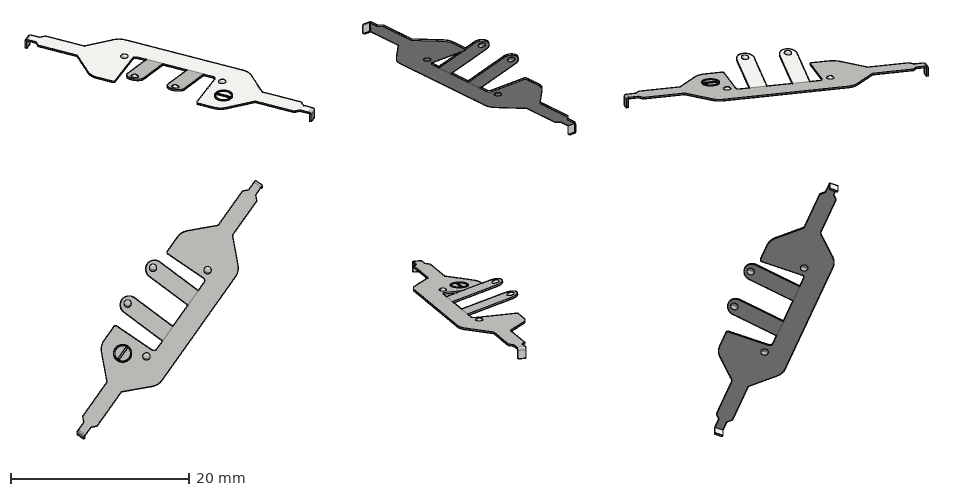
import cadquery as cq
import math

length = 35.2
thickness = 0.2
half_depth = 3.98
corner_radius = 1.75

arm_half_width = 1.0
arm_root_x = 10.95
arm_tip_x = 15.75
tab_half_width = 0.5
tab_height = 1.3
tab_corner_radius = 0.15
bend_radius = 0.28

cutout_half_width = 5.05
cutout_top_y = 1.45
cutout_inner_radius = 0.35
cutout_outer_radius = 0.2

finger_x = 2.5
finger_width = 2.05
finger_tip_y = -4.82
finger_angle = 15.0
finger_slope = math.radians(finger_angle)

bump_radius = 0.42
bump_height = 0.2
finger_bump_offset = 0.25
plate_bump_x = 6.02
plate_bump_y = 1.0

mark_x = 7.25
mark_y = -1.4
ring_outer_radius = 1.02
ring_inner_radius = 0.88
bar_length = 1.48
bar_width = 0.2
mark_depth = 0.07


def make_plate():
    """Flat sheet with 45 degree tapers down to the arms and the end tabs."""
    taper = half_depth - arm_half_width
    shoulder_x = arm_root_x - taper
    tab_root_x = arm_tip_x + arm_half_width - tab_half_width
    back_right = [
        (shoulder_x, half_depth),
        (arm_root_x, arm_half_width),
        (arm_tip_x, arm_half_width),
        (tab_root_x, tab_half_width),
        (length / 2, tab_half_width),
    ]
    front_right = [(x, -y) for x, y in reversed(back_right)]
    right = back_right + front_right
    left = [(-x, y) for x, y in reversed(right)]
    plate = cq.Workplane("XY").polyline(right + left).close().extrude(-thickness)

    for x in (-shoulder_x, shoulder_x):
        for y in (-half_depth, half_depth):
            corner = cq.selectors.NearestToPointSelector((x, y, -thickness / 2))
            plate = plate.edges("|Z").edges(corner).fillet(corner_radius)
    return plate


def make_cutout():
    """Rectangular opening with rounded inner corners and eased mouth corners."""
    r = cutout_outer_radius
    arc_step = r * (1 - math.sqrt(0.5))
    mouth_x = cutout_half_width + r
    opening = (
        cq.Workplane("XY")
        .moveTo(-mouth_x, -half_depth)
        .threePointArc(
            (-cutout_half_width - arc_step, -half_depth + arc_step),
            (-cutout_half_width, -half_depth + r),
        )
        .lineTo(-cutout_half_width, cutout_top_y)
        .lineTo(cutout_half_width, cutout_top_y)
        .lineTo(cutout_half_width, -half_depth + r)
        .threePointArc(
            (cutout_half_width + arc_step, -half_depth + arc_step),
            (mouth_x, -half_depth),
        )
        .close()
        .extrude(-thickness)
    )
    back_corners = cq.selectors.BoxSelector(
        (-length, cutout_top_y - thickness, -length),
        (length, cutout_top_y + thickness, length),
    )
    return opening.edges("|Z").edges(back_corners).fillet(cutout_inner_radius)


def make_tab(side):
    """Downward tab at one end of the sheet; side is -1 or 1."""
    tab = cq.Workplane("XY").box(thickness, 2 * tab_half_width, tab_height, centered=(True, True, False))
    tab = tab.edges("|X and <Z").fillet(tab_corner_radius)
    return tab.translate((side * (length - thickness) / 2, 0, -tab_height))


def round_bends(body):
    """Round the outside of both tab bends."""
    return body.edges("|Y and >Z").edges("<X or >X").fillet(bend_radius)


def make_cap():
    """Spherical cap rising from a flat base at z = 0."""
    sphere_radius = (bump_radius**2 + bump_height**2) / (2 * bump_height)
    sphere = cq.Workplane("XY").sphere(sphere_radius).translate((0, 0, bump_height - sphere_radius))
    column = cq.Workplane("XY").circle(bump_radius).extrude(bump_height)
    return sphere.intersect(column)


def stamp_bump(sheet, x, y, top_z):
    """Raise a cap on the sheet's top face and hollow the same cap out of its underside."""
    raised = sheet.union(make_cap().translate((x, y, top_z)))
    return raised.cut(make_cap().translate((x, y, top_z - thickness)))


def make_finger(x):
    """Round-ended sloping strip with a bump at its tip, hinged at the back of the cutout."""
    flat_length = (cutout_top_y - finger_tip_y) / math.cos(finger_slope)
    tip_radius = finger_width / 2
    tip_y = tip_radius - flat_length
    strip = (
        cq.Workplane("XY")
        .moveTo(-tip_radius, 0)
        .lineTo(-tip_radius, tip_y)
        .threePointArc((0, -flat_length), (tip_radius, tip_y))
        .lineTo(tip_radius, 0)
        .close()
        .extrude(thickness)
    )
    bump_y = tip_y - finger_bump_offset
    finger = stamp_bump(strip, 0, bump_y, thickness)
    finger = finger.rotate((0, 0, 0), (1, 0, 0), -finger_angle)
    return finger.translate((x, cutout_top_y, -thickness))


def make_mark():
    """Cutter for the engraved ring and bar."""
    ring = cq.Workplane("XY").circle(ring_outer_radius).circle(ring_inner_radius).extrude(-mark_depth)
    bar = cq.Workplane("XY").rect(bar_length, bar_width).extrude(-mark_depth)
    return ring.union(bar).translate((mark_x, mark_y, 0))


result = make_plate()
for side in (-1, 1):
    result = result.union(make_tab(side))
result = round_bends(result).cut(make_cutout())
for side in (-1, 1):
    result = result.union(make_finger(side * finger_x))
    result = stamp_bump(result, side * plate_bump_x, plate_bump_y, 0)
result = result.cut(make_mark())